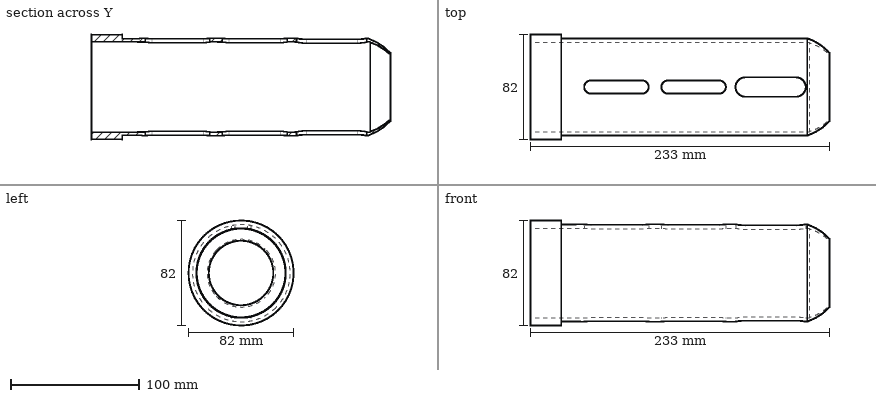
import cadquery as cq
import math

length = 233.0
collar_radius = 82.0 / 2
collar_length = 24.0
body_radius = 76.0 / 2
bore_radius = 70.0 / 2
inner_nose_entry_radius = 69.0 / 2
tip_hole_radius = 50.0 / 2
nose_radius = 40.0
nose_start = 215.8
inner_nose_start = 217.2

small_slot_length = 50.0
small_slot_width = 10.0
small_slot_start = 42.0
small_slot_pitch = 60.0
wide_slot_start = 159.8
wide_slot_length = 54.5
wide_slot_width = 15.0
slots = [
    (small_slot_start, small_slot_length, small_slot_width),
    (small_slot_start + small_slot_pitch, small_slot_length, small_slot_width),
    (wide_slot_start, wide_slot_length, wide_slot_width),
]

nose_center = nose_start - math.sqrt(nose_radius**2 - body_radius**2)
inner_nose_depth = length - inner_nose_start
inner_nose_center = (length + inner_nose_start) / 2 - (
    (inner_nose_entry_radius**2 - tip_hole_radius**2) / (2 * inner_nose_depth)
)
inner_nose_radius = math.hypot(length - inner_nose_center, tip_hole_radius)


def sphere_height(center, radius, x):
    """Distance from the axis to a sphere centred on it, at position x."""
    return math.sqrt(radius**2 - (x - center) ** 2)


def make_shell():
    """Revolve the wall section: collar, body and rounded nose around the bore."""
    outer_mid_x = (nose_start + length) / 2
    inner_mid_x = (inner_nose_start + length) / 2
    return (
        cq.Workplane("XY")
        .moveTo(0, bore_radius)
        .lineTo(0, collar_radius)
        .lineTo(collar_length, collar_radius)
        .lineTo(collar_length, body_radius)
        .lineTo(nose_start, body_radius)
        .threePointArc(
            (outer_mid_x, sphere_height(nose_center, nose_radius, outer_mid_x)),
            (length, sphere_height(nose_center, nose_radius, length)),
        )
        .lineTo(length, tip_hole_radius)
        .threePointArc(
            (inner_mid_x, sphere_height(inner_nose_center, inner_nose_radius, inner_mid_x)),
            (inner_nose_start, inner_nose_entry_radius),
        )
        .lineTo(inner_nose_start, bore_radius)
        .close()
        .revolve(360, (0, 0, 0), (1, 0, 0))
    )


def make_slot(start, slot_length, width):
    """Round-ended cutter running vertically through the whole tube."""
    return (
        cq.Workplane("XY")
        .center(start + slot_length / 2, 0)
        .slot2D(slot_length, width)
        .extrude(collar_radius, both=True)
    )


result = make_shell()
for start, slot_length, width in slots:
    result = result.cut(make_slot(start, slot_length, width))